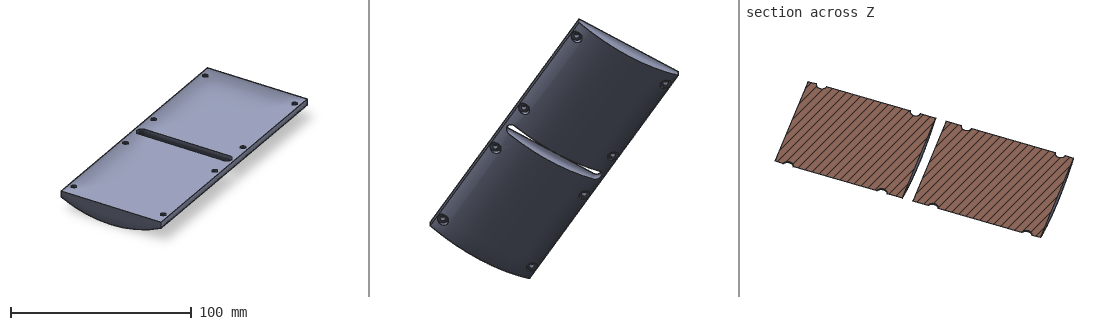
import cadquery as cq

width = 64.8
length = 155.8
thickness = 11.7
edge_height = 3.9

slot_width = 6.0
slot_length = 61.2

hole_diameter = 3.1
hole_x = 29.0
inner_hole_y = 15.0
outer_hole_y = 70.0

counterbore_diameter = 6.0
counterbore_floor_z = 7.8


def make_body():
    """Extrude the flat-topped, round-bottomed section, centred along Y."""
    half_width = width / 2
    edge_bottom = thickness - edge_height
    return (
        cq.Workplane("XZ")
        .moveTo(-half_width, thickness)
        .lineTo(-half_width, edge_bottom)
        .threePointArc((0, 0), (half_width, edge_bottom))
        .lineTo(half_width, thickness)
        .close()
        .extrude(length / 2, both=True)
    )


def make_slot():
    """Rounded-end cutter across the middle of the plate."""
    return cq.Workplane("XY").slot2D(slot_length, slot_width).extrude(thickness)


def make_holes():
    """Cutters for the eight edge holes and their counterbores from below."""
    centers = [
        (x, y)
        for x in (-hole_x, hole_x)
        for y in (-outer_hole_y, -inner_hole_y, inner_hole_y, outer_hole_y)
    ]
    plane = cq.Workplane("XY").pushPoints(centers)
    holes = plane.circle(hole_diameter / 2).extrude(thickness)
    counterbores = plane.circle(counterbore_diameter / 2).extrude(counterbore_floor_z)
    return holes.union(counterbores)


result = make_body().cut(make_slot()).cut(make_holes())